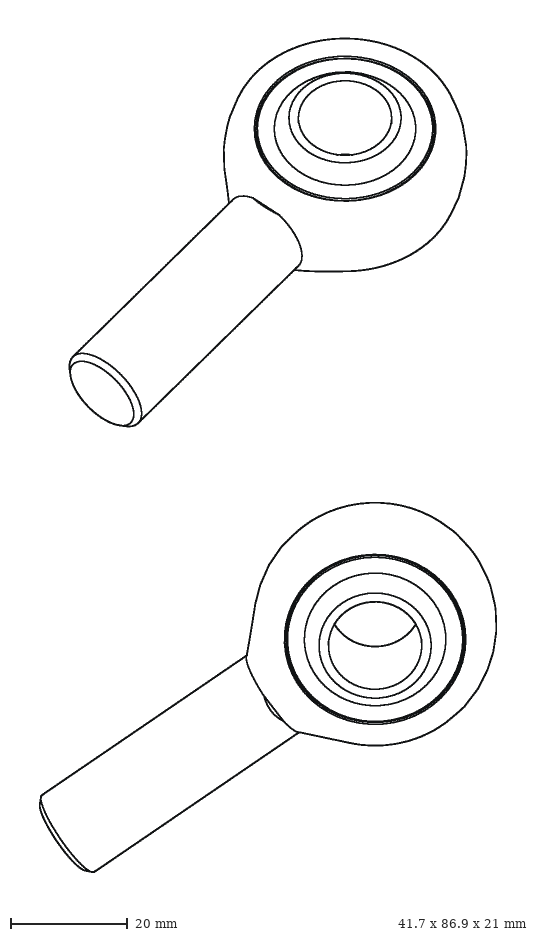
import cadquery as cq
import math

TOTAL_LENGTH = 86.9
HEAD_RADIUS = 20.85
HEAD_THICKNESS = 14.9
HEAD_EDGE_FILLET = 0.4
SHANK_DIAMETER = 16.0
SHANK_END_CHAMFER = 0.95
RACE_DIAMETER = 30.6
SEAM_CHAMFER = 0.3
BALL_RADIUS = 14.25
BALL_WIDTH = 21.0
BORE_DIAMETER = 16.0

half_thickness = HEAD_THICKNESS / 2
shank_radius = SHANK_DIAMETER / 2
shank_end_y = HEAD_RADIUS - TOTAL_LENGTH
tangent_offset = HEAD_RADIUS * math.sin(math.radians(45))
neck_end_y = shank_radius - 2 * tangent_offset


def make_head():
    """Sphere and tangent 45 degree cone with two round-edged flats, cut off where the shank starts."""
    cone_tip_y = -2 * tangent_offset
    turned = (
        cq.Workplane("XY")
        .moveTo(0, HEAD_RADIUS)
        .threePointArc((HEAD_RADIUS, 0), (tangent_offset, -tangent_offset))
        .lineTo(0, cone_tip_y)
        .close()
        .revolve(360, (0, 0, 0), (0, 1, 0))
    )
    slab = cq.Workplane("XY").box(2 * HEAD_RADIUS, 4 * HEAD_RADIUS, HEAD_THICKNESS)
    head = turned.intersect(slab)
    head = head.faces("|Z").edges().fillet(HEAD_EDGE_FILLET)
    keep_length = HEAD_RADIUS - neck_end_y
    keep_block = (
        cq.Workplane("XY")
        .box(2 * HEAD_RADIUS, keep_length, HEAD_THICKNESS)
        .translate((0, neck_end_y + keep_length / 2, 0))
    )
    return head.intersect(keep_block)


def make_shank():
    """Round shank along -Y with a chamfered free end and two 45 degree ramps at the head."""
    shank = (
        cq.Workplane("XZ", origin=(0, neck_end_y, 0))
        .circle(shank_radius)
        .extrude(neck_end_y - shank_end_y)
        .faces("<Y")
        .chamfer(SHANK_END_CHAMFER)
    )
    rise = shank_radius - half_thickness
    ramp = (
        cq.Workplane("YZ")
        .moveTo(neck_end_y, half_thickness)
        .lineTo(neck_end_y - rise, shank_radius)
        .lineTo(neck_end_y, shank_radius)
        .close()
        .extrude(shank_radius, both=True)
    )
    return shank.cut(ramp).cut(ramp.mirror("XY"))


def make_race_seat():
    """Cylinder that fills the race hole, flared at both mouths by the seam chamfer."""
    seat_radius = RACE_DIAMETER / 2
    return (
        cq.Workplane("XZ")
        .moveTo(0, -half_thickness)
        .lineTo(seat_radius + SEAM_CHAMFER, -half_thickness)
        .lineTo(seat_radius, SEAM_CHAMFER - half_thickness)
        .lineTo(seat_radius, half_thickness - SEAM_CHAMFER)
        .lineTo(seat_radius + SEAM_CHAMFER, half_thickness)
        .lineTo(0, half_thickness)
        .close()
        .revolve(360, (0, 0, 0), (0, 1, 0))
    )


def make_housing():
    """Rod-end body: head and shank in one piece, with a through hole for the race."""
    return make_head().union(make_shank()).cut(make_race_seat())


def make_ball_sphere():
    """Full bearing sphere shared by the ball and the race socket."""
    return cq.Workplane("XY").sphere(BALL_RADIUS)


def make_race():
    """Ring fixed in the housing, with a spherical inner surface for the ball."""
    ring = (
        cq.Workplane("XY")
        .cylinder(HEAD_THICKNESS, RACE_DIAMETER / 2)
        .edges("%CIRCLE")
        .chamfer(SEAM_CHAMFER)
    )
    return ring.cut(make_ball_sphere())


def make_ball():
    """Ball truncated by two flats and bored through along Z."""
    bored_blank = (
        cq.Workplane("XY")
        .box(2 * BALL_RADIUS, 2 * BALL_RADIUS, BALL_WIDTH)
        .faces(">Z")
        .workplane()
        .hole(BORE_DIAMETER)
    )
    return make_ball_sphere().intersect(bored_blank)


housing = make_housing()
race = make_race()
ball = make_ball()

result = cq.Compound.makeCompound([body.solids().val() for body in (housing, race, ball)])